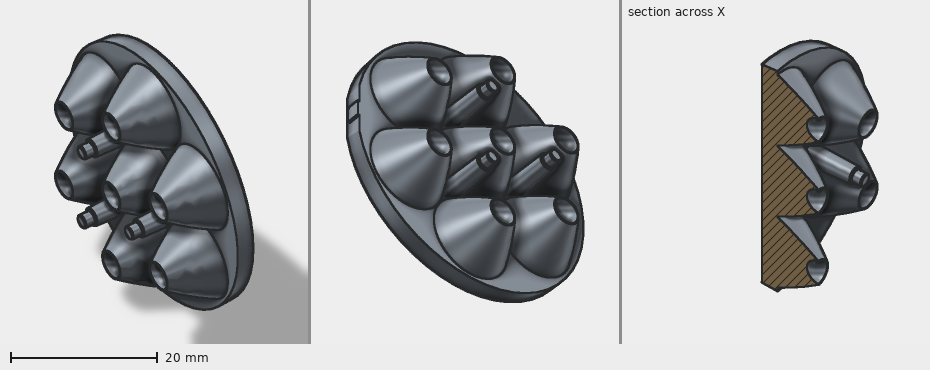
import cadquery as cq
import math

plate_radius = 19.95
plate_back_radius = 19.85
plate_thickness = 2.75
back_chamfer_depth = 0.15
back_chamfer_width = 0.08
flat_distance = 19.5

tab_reach = 19.8
tab_half_height = 1.28
tab_depth = 2.07

outer_cone_count = 6
outer_cone_start_angle = 30
cone_pitch = 12.9
cone_base_radius = 6.42
cone_tip_radius = 2.15
cone_height = 7.05
cone_bulge = 0.2
dimple_radius = 2.0

pin_count = 3
pin_circle_radius = cone_pitch / math.sqrt(3)
pin_base_radius = 1.6
pin_shoulder_radius = 1.35
pin_shoulder_height = 7.85
pin_tip_radius = 1.0
pin_height = 9.45
pin_edge_chamfer = 0.15

embed = 0.4


def revolve_about_y(profile):
    return profile.close().revolve(360, (0, 0, 0), (0, 1, 0))


def ring_points(count, radius, first_angle):
    angles = [math.radians(first_angle + i * 360 / count) for i in range(count)]
    return [(radius * math.cos(a), radius * math.sin(a)) for a in angles]


def make_plate():
    disc = revolve_about_y(
        cq.Workplane("XY")
        .lineTo(plate_radius, 0)
        .lineTo(plate_back_radius, plate_thickness)
        .lineTo(0, plate_thickness)
    )
    kept_width = flat_distance + plate_radius
    kept_side = cq.Workplane("XY").box(
        kept_width, plate_thickness, 2 * plate_radius, centered=(False, False, True)
    ).translate((-flat_distance, 0, 0))
    plate = disc.intersect(kept_side)
    return plate.faces(">Y").chamfer(back_chamfer_depth, back_chamfer_width)


def make_tab():
    length = tab_reach - flat_distance + embed
    tab = cq.Workplane("XY").box(
        length, tab_depth, 2 * tab_half_height, centered=(False, False, True)
    )
    return tab.translate((-tab_reach, 0, 0))


def make_cone():
    middle_radius = (cone_base_radius + cone_tip_radius) / 2 + cone_bulge
    return revolve_about_y(
        cq.Workplane("XY")
        .moveTo(0, embed)
        .lineTo(cone_base_radius, embed)
        .lineTo(cone_base_radius, 0)
        .threePointArc((middle_radius, -cone_height / 2), (cone_tip_radius, -cone_height))
        .lineTo(dimple_radius, -cone_height)
        .threePointArc(
            (dimple_radius * math.sqrt(0.5), -cone_height + dimple_radius * math.sqrt(0.5)),
            (0, -cone_height + dimple_radius),
        )
    )


def make_pin():
    return revolve_about_y(
        cq.Workplane("XY")
        .moveTo(0, embed)
        .lineTo(pin_base_radius, embed)
        .lineTo(pin_base_radius, 0)
        .lineTo(pin_shoulder_radius, -pin_shoulder_height + pin_edge_chamfer)
        .lineTo(pin_shoulder_radius - pin_edge_chamfer, -pin_shoulder_height)
        .lineTo(pin_tip_radius, -pin_shoulder_height)
        .lineTo(pin_tip_radius, -pin_height + pin_edge_chamfer)
        .lineTo(pin_tip_radius - pin_edge_chamfer, -pin_height)
        .lineTo(0, -pin_height)
    )


result = make_plate().union(make_tab())

cone = make_cone()
for x, z in [(0, 0)] + ring_points(outer_cone_count, cone_pitch, outer_cone_start_angle):
    result = result.union(cone.translate((x, 0, z)))

pin = make_pin()
for x, z in ring_points(pin_count, pin_circle_radius, 0):
    result = result.union(pin.translate((x, 0, z)))